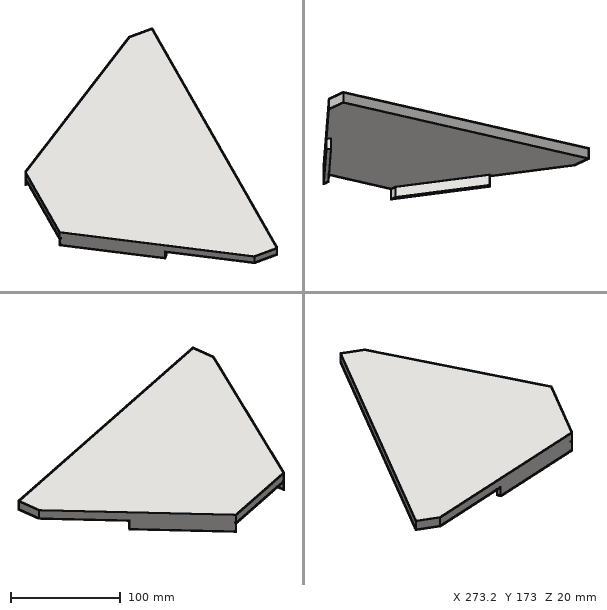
import cadquery as cq
import math

plate_width = 273.2
plate_depth = 173.0
total_height = 20.0
plate_thickness = total_height / 2
front_width = 75.0
side_length = 23.0

tab_height = total_height - plate_thickness
tab_thickness = 4.0
tab_length = 97.3
back_end_angle = math.radians(45)

half_width = plate_width / 2
half_front = front_width / 2
slant_run = half_width - half_front
slant_rise = plate_depth - side_length
slant_angle = math.atan2(slant_rise, slant_run)


def make_plate():
    """Six-sided plate with its front edge on Y = 0 and its underside on Z = 0."""
    outline = [
        (-half_front, 0),
        (half_front, 0),
        (half_width, slant_rise),
        (half_width, plate_depth),
        (-half_width, plate_depth),
        (-half_width, slant_rise),
    ]
    return cq.Workplane("XY").polyline(outline).close().extrude(plate_thickness)


def make_right_tab():
    """Strip along the +X slant: oblique back end, cut parallel to Y at the front."""
    outer_back_x = half_front + tab_length * math.cos(slant_angle)
    outer_back_y = tab_length * math.sin(slant_angle)
    back_end_length = tab_thickness / math.sin(back_end_angle + slant_angle)
    inner_back_x = outer_back_x - back_end_length * math.cos(back_end_angle)
    inner_back_y = outer_back_y + back_end_length * math.sin(back_end_angle)
    front_cut_length = tab_thickness / math.cos(slant_angle)
    outline = [
        (half_front, 0),
        (outer_back_x, outer_back_y),
        (inner_back_x, inner_back_y),
        (half_front, front_cut_length),
    ]
    return cq.Workplane("XY").polyline(outline).close().extrude(-tab_height)


right_tab = make_right_tab()
left_tab = right_tab.mirror("YZ")
result = make_plate().union(right_tab).union(left_tab)